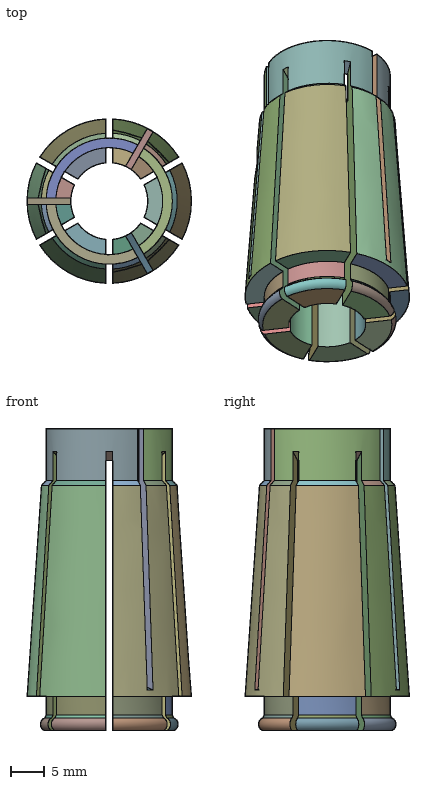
import cadquery as cq
import math

total_height = 45.1
snap_ring_height = 1.9
neck_start = 2.35
cone_bottom = 5.1
cone_top = 36.6
collar_bottom = 37.35
counterbore_floor = 35.65

cone_base_radius = 12.29
cone_top_radius = 10.15
collar_radius = 9.43
neck_radius = collar_radius
snap_ring_radius = 10.3
snap_ring_top_radius = 9.65
bore_radius = 5.75
counterbore_radius = 8.0

slot_width = 1.0
bottom_slot_angles = range(30, 360, 60)
bottom_slot_top = 41.65
bottom_slot_drop = 1.35
top_slot_angles = range(60, 360, 120)
top_slot_floor = 6.05
saw_radius = 19.4
saw_centre_radius = 15.55
overshoot = 2.25


def make_body():
    """Solid of revolution: snap ring, neck, cone, shoulder and collar."""
    body = (
        cq.Workplane("XZ")
        .lineTo(snap_ring_top_radius, 0)
        .threePointArc(
            (snap_ring_radius, snap_ring_height / 2),
            (snap_ring_top_radius, snap_ring_height),
        )
        .lineTo(neck_radius, neck_start)
        .lineTo(neck_radius, cone_bottom)
        .lineTo(cone_base_radius, cone_bottom)
        .lineTo(cone_top_radius, cone_top)
        .lineTo(collar_radius, collar_bottom)
        .lineTo(collar_radius, total_height)
        .lineTo(0, total_height)
        .close()
        .revolve(360, (0, 0, 0), (0, 1, 0))
    )
    bore = cq.Workplane("XY").circle(bore_radius).extrude(total_height)
    counterbore = (
        cq.Workplane("XY", origin=(0, 0, counterbore_floor))
        .circle(counterbore_radius)
        .extrude(total_height - counterbore_floor)
    )
    return body.cut(bore).cut(counterbore)


def make_bottom_slot():
    """Radial cutter along +X, open downward, with a slanted upper end."""
    wall = collar_radius - counterbore_radius
    slope = bottom_slot_drop / wall
    outer_radius = cone_base_radius + overshoot
    outer_top = bottom_slot_top + slope * (outer_radius - collar_radius)
    inner_top = bottom_slot_top - bottom_slot_drop
    return (
        cq.Workplane("XZ")
        .moveTo(0, -overshoot)
        .lineTo(outer_radius, -overshoot)
        .lineTo(outer_radius, outer_top)
        .lineTo(counterbore_radius, inner_top)
        .lineTo(0, inner_top)
        .close()
        .extrude(slot_width / 2, both=True)
    )


def make_top_slot():
    """Radial cutter along +X, open upward, with a circular floor rising inward."""
    outer_reach = saw_centre_radius - cone_base_radius
    saw_centre_height = top_slot_floor + math.sqrt(saw_radius**2 - outer_reach**2)

    def floor_point(radius):
        reach = saw_centre_radius - radius
        return radius, saw_centre_height - math.sqrt(saw_radius**2 - reach**2)

    inner_radius = bore_radius - overshoot
    return (
        cq.Workplane("XZ")
        .moveTo(inner_radius, total_height + overshoot)
        .lineTo(*floor_point(inner_radius))
        .threePointArc(floor_point(bore_radius), floor_point(saw_centre_radius))
        .lineTo(saw_centre_radius, total_height + overshoot)
        .close()
        .extrude(slot_width / 2, both=True)
    )


def cut_around_axis(body, cutter, angles):
    """Cut a copy of the cutter from the body at each angle about Z."""
    for angle in angles:
        body = body.cut(cutter.rotate((0, 0, 0), (0, 0, 1), angle))
    return body


result = make_body()
result = cut_around_axis(result, make_bottom_slot(), bottom_slot_angles)
result = cut_around_axis(result, make_top_slot(), top_slot_angles)